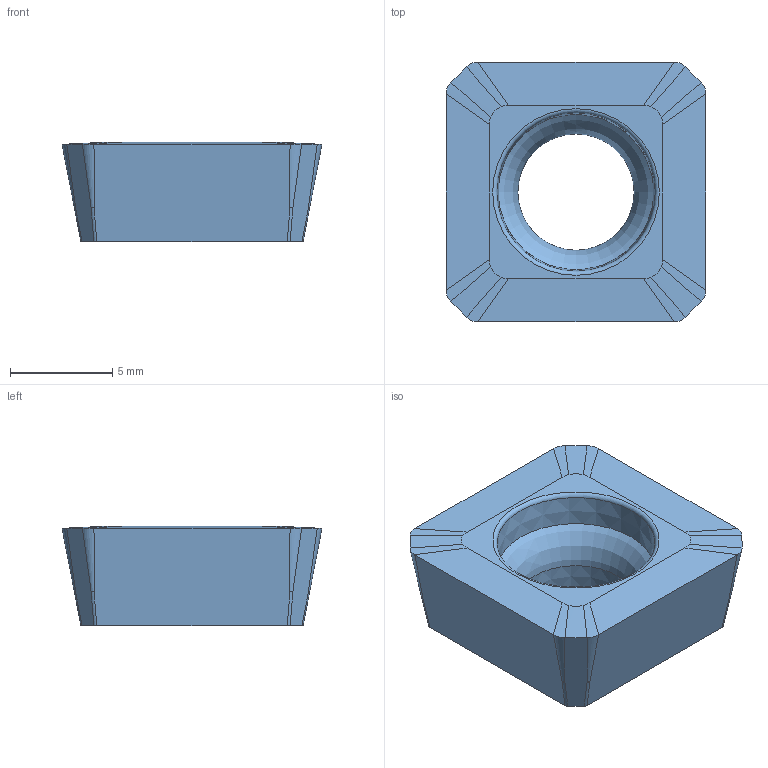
import cadquery as cq
import math


edge_width = 12.7
edge_height = 4.76
relief_angle = 11.0
bevel_distance = 8.11
edge_blend_radius = 0.8
base_blend_radius = 0.2
blend_change_height = 1.66

land_width = 8.48
land_corner_radius = 0.95
land_height = 4.86

bore_radius = 2.84
bore_base_radius = 2.92
seat_bottom_height = 1.31
seat_top_height = 3.15
seat_top_radius = 3.8
wall_top_radius = 3.87
rim_radius = 4.07

BEVEL_TURN = 45.0


def polar(radius, angle):
    """Vector of the given length at an angle in degrees."""
    return cq.Vector(radius * math.cos(math.radians(angle)), radius * math.sin(math.radians(angle)))


def arc_edge(centre, radius, start_angle, end_angle):
    """Arc about a centre, running between two angles in degrees."""
    middle_angle = (start_angle + end_angle) / 2
    points = [centre + polar(radius, angle) for angle in (start_angle, middle_angle, end_angle)]
    return cq.Edge.makeThreePointArc(*points)


def ring_wire(quarter_edges, height):
    """Closed wire made from one quarter's edges, turned to all four sides."""
    edges = []
    for quarter in range(4):
        for edge in quarter_edges:
            turned = edge.rotate(cq.Vector(0, 0, 0), cq.Vector(0, 0, 1), 90 * quarter)
            edges.append(turned.translate(cq.Vector(0, 0, height)))
    return cq.Wire.assembleEdges(edges)


def body_section(height, blend_radius):
    """Bevelled square with blended corners, one flank and corner per quarter."""
    inset = (edge_height - height) * math.tan(math.radians(relief_angle))
    flank_x = edge_width / 2 - inset
    bevel = bevel_distance - inset
    centre_x = flank_x - blend_radius
    centre_y = (bevel - blend_radius) * math.sqrt(2) - centre_x
    first_centre = cq.Vector(centre_x, centre_y)
    second_centre = cq.Vector(centre_y, centre_x)
    flank_start = cq.Vector(flank_x, -centre_y)
    flank_end = cq.Vector(flank_x, centre_y)
    bevel_start = first_centre + polar(blend_radius, BEVEL_TURN)
    bevel_end = second_centre + polar(blend_radius, BEVEL_TURN)
    quarter_edges = [
        cq.Edge.makeLine(flank_start, flank_end),
        arc_edge(first_centre, blend_radius, 0, BEVEL_TURN),
        cq.Edge.makeLine(bevel_start, bevel_end),
        arc_edge(second_centre, blend_radius, BEVEL_TURN, 2 * BEVEL_TURN),
    ]
    return ring_wire(quarter_edges, height)


def land_section():
    """Rounded square, each corner split into three arcs to match the body section."""
    side_x = land_width / 2
    centre_offset = side_x - land_corner_radius
    centre = cq.Vector(centre_offset, centre_offset)
    quarter_edges = [cq.Edge.makeLine(cq.Vector(side_x, -centre_offset), cq.Vector(side_x, centre_offset))]
    split_angles = [0, BEVEL_TURN / 2, 3 * BEVEL_TURN / 2, 2 * BEVEL_TURN]
    for start_angle, end_angle in zip(split_angles, split_angles[1:]):
        quarter_edges.append(arc_edge(centre, land_corner_radius, start_angle, end_angle))
    return ring_wire(quarter_edges, land_height)


def insert_body():
    """Straight-ruled body from the base through the cutting edge to the land."""
    sections = [
        body_section(0, base_blend_radius),
        body_section(blend_change_height, base_blend_radius),
        body_section(edge_height, edge_blend_radius),
        land_section(),
    ]
    return cq.Workplane(cq.Solid.makeLoft(sections, True))


def screw_hole():
    """Slightly flared bore, convex seat, slightly conical wall and rounded rim."""
    seat_rise = seat_top_height - seat_bottom_height
    seat_flare = seat_top_radius - bore_radius
    seat_radius = (seat_rise**2 + seat_flare**2) / (2 * seat_flare)
    seat_mid_angle = math.asin(seat_rise / seat_radius) / 2
    seat_mid = (
        bore_radius + seat_radius * (1 - math.cos(seat_mid_angle)),
        seat_bottom_height + seat_radius * math.sin(seat_mid_angle),
    )
    rim_round = rim_radius - wall_top_radius
    rim_mid = (
        rim_radius - rim_round * math.sqrt(0.5),
        land_height - rim_round * (1 - math.sqrt(0.5)),
    )
    return (
        cq.Workplane("YZ")
        .lineTo(bore_base_radius, 0)
        .lineTo(bore_radius, seat_bottom_height)
        .threePointArc(seat_mid, (seat_top_radius, seat_top_height))
        .lineTo(wall_top_radius, land_height - rim_round)
        .threePointArc(rim_mid, (rim_radius, land_height))
        .lineTo(0, land_height)
        .close()
        .revolve(360, (0, 0), (0, 1))
    )


result = insert_body().cut(screw_hole()).clean()